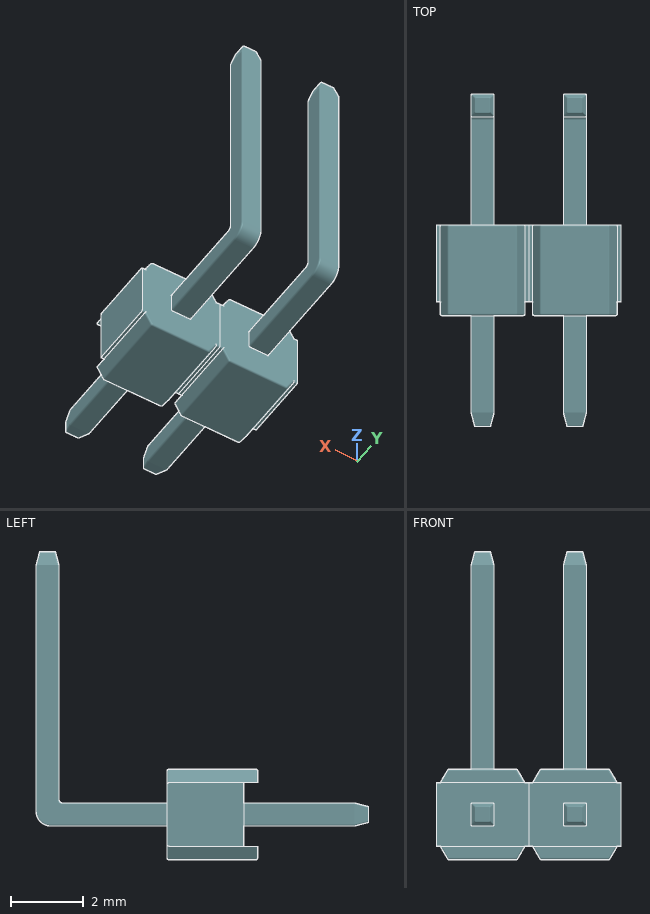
import cadquery as cq
import math


pole_count = 2
row_width = 5.09
overall_depth = 9.17
overall_height = 8.5

housing_height = 2.5
block_height = 1.75
block_depth = 2.12
cap_depth = 2.5
cap_side_inset = 0.1
cap_slant_run = 0.22
housing_edge_radius = 0.055

pin_size = 0.64
pin_front_length = 3.05
bend_outer_radius = 0.41
bend_inner_radius = 0.09
taper_length = 0.385
taper_inset = 0.1
pin_edge_radius = 0.05
tip_edge_radius = 0.03

tolerance = 0.001

pitch = row_width / pole_count
pin_half = pin_size / 2
taper_angle = math.degrees(math.atan2(taper_inset, taper_length))
front_tip_y = -overall_depth / 2
front_taper_y = front_tip_y + taper_length
tail_back_y = overall_depth / 2
tail_front_y = tail_back_y - pin_size
tail_tip_z = overall_height - housing_height / 2
tail_taper_z = tail_tip_z - taper_length
housing_back_y = front_tip_y + pin_front_length + cap_depth
cap_base_z = block_height / 2
cap_top_z = housing_height / 2
cap_base_half = pitch / 2 - cap_side_inset
cap_top_half = cap_base_half - cap_slant_run


def make_bent_bar():
    """L-shaped square bar with a rounded bend, without its tapered ends."""
    bar = (
        cq.Workplane("YZ")
        .moveTo(front_taper_y, -pin_half)
        .lineTo(tail_back_y, -pin_half)
        .lineTo(tail_back_y, tail_taper_z)
        .lineTo(tail_front_y, tail_taper_z)
        .lineTo(tail_front_y, pin_half)
        .lineTo(front_taper_y, pin_half)
        .close()
        .extrude(pin_half, both=True)
    )
    outer_corner = cq.selectors.NearestToPointSelector((0, tail_back_y, -pin_half))
    inner_corner = cq.selectors.NearestToPointSelector((0, tail_front_y, pin_half))
    bar = bar.edges(outer_corner).fillet(bend_outer_radius)
    return bar.edges(inner_corner).fillet(bend_inner_radius)


def is_lengthwise(edge):
    """True for an edge that runs along the pin rather than across it."""
    box = edge.BoundingBox()
    on_straight = max(box.ylen, box.zlen) > 2 * pin_size
    on_bend = edge.geomType() == "CIRCLE"
    on_taper = min(box.xlen, box.ylen, box.zlen) > taper_inset / 2
    return on_straight or on_bend or on_taper


def make_pin():
    """Bent pin with tapered ends and rounded edges."""
    pin = make_bent_bar()
    for end_face in ("<Y", ">Z"):
        pin = (
            pin.faces(end_face)
            .workplane(centerOption="CenterOfBoundBox")
            .rect(pin_size, pin_size)
            .extrude(taper_length, taper=taper_angle)
        )
    long_edges = [edge for edge in pin.edges().vals() if is_lengthwise(edge)]
    pin = pin.newObject(long_edges).fillet(pin_edge_radius)
    return pin.faces("<Y or >Z").edges().fillet(tip_edge_radius).solids()


def make_cap(side):
    """Trapezoid cap on the upper (side = 1) or lower (side = -1) face of the block."""
    return (
        cq.Workplane("XZ", origin=(0, housing_back_y, 0))
        .moveTo(-cap_base_half, side * cap_base_z)
        .lineTo(cap_base_half, side * cap_base_z)
        .lineTo(cap_top_half, side * cap_top_z)
        .lineTo(-cap_top_half, side * cap_top_z)
        .close()
        .extrude(cap_depth)
    )


def is_rounded(edge):
    """True for the cap edges away from the block, and for the level edges of the block's back face."""
    center = edge.Center()
    on_cap = abs(center.z) > cap_base_z + tolerance
    on_base_level = abs(center.z) > cap_base_z - tolerance
    on_back_face = center.y > housing_back_y - tolerance
    return on_cap or (on_base_level and on_back_face)


def make_housing(pin):
    """Block with two caps, rounded edges and a channel that the pin fills."""
    housing = (
        cq.Workplane("XY")
        .box(pitch, block_depth, block_height)
        .translate((0, housing_back_y - block_depth / 2, 0))
        .union(make_cap(1))
        .union(make_cap(-1))
    )
    rounded_edges = [edge for edge in housing.edges().vals() if is_rounded(edge)]
    return housing.newObject(rounded_edges).fillet(housing_edge_radius).cut(pin).solids()


pin = make_pin()
housing = make_housing(pin)
bodies = []
for pole in range(pole_count):
    pole_offset = ((pole - (pole_count - 1) / 2) * pitch, 0, 0)
    bodies.append(pin.translate(pole_offset).val())
    bodies.append(housing.translate(pole_offset).val())

result = cq.Compound.makeCompound(bodies)